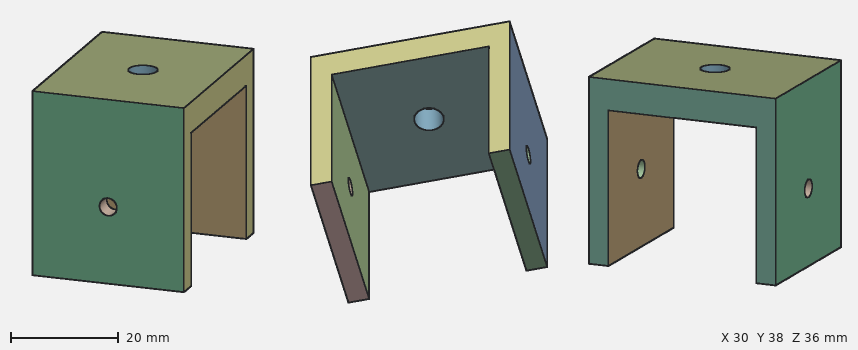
import cadquery as cq

width = 30.0
depth = 38.0
height = 36.0

side_wall = 4.0
top_wall = 6.0

top_hole_diameter = 5.5
side_hole_diameter = 3.42
side_hole_height = 15.0

channel_depth = depth - 2 * side_wall
channel_height = height - top_wall

block = cq.Workplane("XY").box(width, depth, height, centered=(True, True, False))

channel = cq.Workplane("XY").box(width, channel_depth, channel_height, centered=(True, True, False))

top_hole = cq.Workplane("XY").circle(top_hole_diameter / 2).extrude(height)

side_holes = (
    cq.Workplane("XZ")
    .center(0, side_hole_height)
    .circle(side_hole_diameter / 2)
    .extrude(depth / 2, both=True)
)

result = block.cut(channel).cut(top_hole).cut(side_holes)